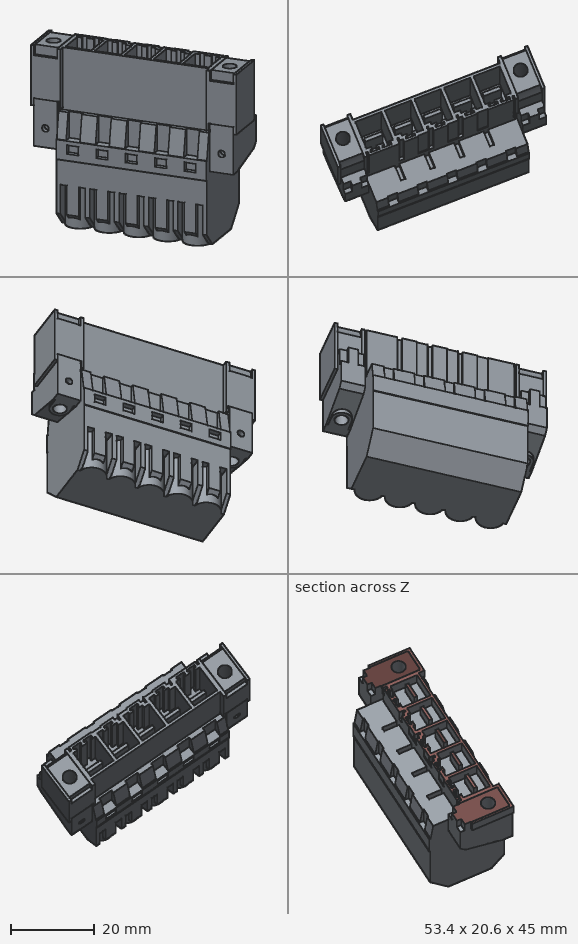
import cadquery as cq


POLE_COUNT = 5
PITCH = 7.65
POLE_XS = [(i - (POLE_COUNT - 1) / 2) * PITCH for i in range(POLE_COUNT)]
MIDDLE_POLE_XS = POLE_XS[1:-1]
POLE_BOUNDARY_XS = [x + PITCH / 2 for x in POLE_XS[:-1]]

LENGTH = 53.35
DEPTH = 20.6
HEIGHT = 45.0

PLUG_LENGTH = 39.0
PLUG_REAR_TOP = 27.2
PLUG_FRONT_TOP = 29.2
BAND_PROUD = 0.2
BAND_BOTTOM = 17.4
BAND_TOP = 22.45
SLOPE_SETBACK = 0.4
FRONT_SLOPE_TOP_Y = 1.6
REAR_SLOPE_TOP_Y = DEPTH - 1.05
FRONT_CHAMFER = 3.6
REAR_CHAMFER = 4.95
PLUG_FRONT = BAND_PROUD
PLUG_REAR = DEPTH - BAND_PROUD

FRONT_GRIP_WIDTH = 3.6
FRONT_GRIP_BACK = 2.35
REAR_GRIP_WIDTH = 2.45
REAR_GRIP_DEPTH = 1.4
WINDOW_WIDTH = 3.0
WINDOW_BOTTOM = 19.15
WINDOW_TOP = 21.4
WINDOW_DEPTH = 1.35
CODING_GROOVE_WIDTH = 1.2
CODING_GROOVE_LENGTH = 4.0
CODING_GROOVE_DEPTH = 2.15

FUNNEL_RADIUS = 3.65
FUNNEL_FRONT = 1.1
FUNNEL_TOP = 11.0
FUNNEL_Y = FUNNEL_FRONT + FUNNEL_RADIUS
FUNNEL_SLOT_INNER = 1.5
FUNNEL_SLOT_OUTER = 3.2

NOSE_LENGTH = 37.9
NOSE_FRONT = 3.0
NOSE_REAR = 12.7
POCKET_WIDTH = 6.7
POCKET_FRONT = 3.75
POCKET_FLOOR = 29.35
END_POCKET_OUTER_REAR = 10.9
END_POCKET_MIDDLE_REAR = 11.05
END_POCKET_INNER_REAR = 11.2
END_POCKET_STEP = 2.15
MIDDLE_POCKET_LEFT_REAR = 11.6
MIDDLE_POCKET_CENTRE_REAR = 11.05
MIDDLE_POCKET_RIGHT_REAR = 10.35
MIDDLE_POCKET_STEP = 1.85

T_SLOT_OPENING = 1.25
T_SLOT_WIDTH = 2.3
T_SLOT_HEAD_FRONT = 11.6
T_SLOT_REAR = 12.1
END_T_SLOT_OFFSET = 1.55

STEP_GROOVE_LEFT = 2.0
STEP_GROOVE_RIGHT = 3.2
STEP_GROOVE_DEPTH = 0.75
STEP_GROOVE_LIP_WIDTH = 0.4
STEP_GROOVE_LIP_DEPTH = 1.5
SHALLOW_GROOVE_WIDTH = 2.65
SHALLOW_GROOVE_OFFSET = 3.05
SHALLOW_GROOVE_DEPTH = 0.2
END_GROOVE_WIDTH = 0.5
END_GROOVE_DEPTH = 0.95
END_GROOVE_X = 18.85

BLADE_WIDTH = 4.5
BLADE_THICKNESS = 0.9
BLADE_Y = 7.05
BLADE_BOTTOM = 26.65
BLADE_TOP = 38.4

BOX_FRONT = 1.45
BOX_BOTTOM = 29.7
BOX_WALL_FRONT = 2.35
BOX_WALL_BOTTOM = 31.6
BOX_WALL_TOP = 42.5
INSERT_INNER_X = 19.85
INSERT_OUTER_X = 25.9
INNER_WALL_LOWER_X = 19.45
INSERT_X = (INSERT_INNER_X + INSERT_OUTER_X) / 2
INSERT_WIDTH = INSERT_OUTER_X - INSERT_INNER_X
INSERT_TOP_REAR = 11.6
FLARE_BOTTOM = 42.15
FLARE_RADIUS = 6.4
INSERT_REAR = 15.6
INSERT_BOTTOM = 19.4
INSERT_BACK_TOP = 34.9
INSERT_BACK_BOTTOM = 23.25
SLOPE_REAR_Y = 14.15
SLOPE_REAR_Z = 21.9
SLOPE_FRONT_Y = 3.9
NOTCH_WIDTH = 1.8
NOTCH_DEPTH = 1.2
NOTCH_BOTTOM = 29.85
SCREW_Y = 6.45
SCREW_HOLE_DIAMETER = 3.35
SCREW_BOSS_RADIUS = 2.55
PEEP_HOLE_Z = 24.3
PEEP_HOLE_DIAMETER = 1.75
PEEP_HOLE_DEPTH = 1.6


def block(x0, x1, y0, y1, z0, z1):
    """Box between two opposite corners."""
    return cq.Workplane("XY").box(x1 - x0, y1 - y0, z1 - z0, centered=False).translate((x0, y0, z0))


def centred_block(x, width, y0, y1, z0, z1):
    """Box centred on x."""
    return block(x - width / 2, x + width / 2, y0, y1, z0, z1)


def mirrored(shape, side):
    """The shape itself on the right (+1), its mirror image on the left (-1)."""
    return shape if side > 0 else shape.mirror("YZ")


def plug_block():
    """Side outline of the lower plug, drawn through the whole row of poles."""
    outline = [
        (PLUG_FRONT + FRONT_CHAMFER, 0),
        (PLUG_FRONT, FRONT_CHAMFER),
        (PLUG_FRONT, BAND_BOTTOM),
        (0, BAND_BOTTOM),
        (0, BAND_TOP),
        (SLOPE_SETBACK, BAND_TOP),
        (FRONT_SLOPE_TOP_Y, PLUG_FRONT_TOP),
        (NOSE_FRONT, PLUG_FRONT_TOP),
        (NOSE_FRONT, PLUG_REAR_TOP),
        (REAR_SLOPE_TOP_Y, PLUG_REAR_TOP),
        (DEPTH - SLOPE_SETBACK, BAND_TOP),
        (DEPTH, BAND_TOP),
        (DEPTH, BAND_BOTTOM),
        (PLUG_REAR, BAND_BOTTOM),
        (PLUG_REAR, REAR_CHAMFER),
        (PLUG_REAR - REAR_CHAMFER, 0),
    ]
    return cq.Workplane("YZ").polyline(outline).close().extrude(PLUG_LENGTH / 2, both=True)


def wire_funnel(x):
    return cq.Workplane("XY").center(x, FUNNEL_Y).circle(FUNNEL_RADIUS).extrude(FUNNEL_TOP)


def funnel_slots(x):
    """Pair of front slots that stop at the funnel surface."""
    slots = centred_block(x, 2 * FUNNEL_SLOT_OUTER, 0, FUNNEL_Y, 0, FUNNEL_TOP)
    rib = centred_block(x, 2 * FUNNEL_SLOT_INNER, 0, FUNNEL_Y, 0, FUNNEL_TOP)
    return slots.cut(rib).cut(wire_funnel(x))


def grip_recesses(x):
    """Front and rear grip recesses above the band, and the window in the band."""
    front = centred_block(x, FRONT_GRIP_WIDTH, 0, FRONT_GRIP_BACK, BAND_TOP, PLUG_FRONT_TOP)
    rear = centred_block(x, REAR_GRIP_WIDTH, DEPTH - REAR_GRIP_DEPTH, DEPTH, BAND_TOP, PLUG_REAR_TOP)
    window = centred_block(x, WINDOW_WIDTH, 0, WINDOW_DEPTH, WINDOW_BOTTOM, WINDOW_TOP)
    return front.union(rear).union(window)


def coding_groove(x):
    floor = PLUG_REAR_TOP - CODING_GROOVE_DEPTH
    return centred_block(
        x, CODING_GROOVE_WIDTH, NOSE_REAR, NOSE_REAR + CODING_GROOVE_LENGTH, floor, PLUG_REAR_TOP
    )


def t_slot(x):
    opening = centred_block(x, T_SLOT_OPENING, POCKET_FRONT, T_SLOT_REAR, POCKET_FLOOR, HEIGHT)
    head = centred_block(x, T_SLOT_WIDTH, T_SLOT_HEAD_FRONT, T_SLOT_REAR, POCKET_FLOOR, HEIGHT)
    return opening.union(head)


def stepped_pocket(x, left_step, right_step, left_rear, centre_rear, right_rear):
    """Pocket whose rear wall has three stretches at different depths."""
    left = x - POCKET_WIDTH / 2
    right = x + POCKET_WIDTH / 2
    outline = [
        (left, POCKET_FRONT),
        (left, left_rear),
        (x + left_step, left_rear),
        (x + left_step, centre_rear),
        (x + right_step, centre_rear),
        (x + right_step, right_rear),
        (right, right_rear),
        (right, POCKET_FRONT),
    ]
    height = HEIGHT - POCKET_FLOOR
    return cq.Workplane("XY", origin=(0, 0, POCKET_FLOOR)).polyline(outline).close().extrude(height)


def middle_pocket(x):
    pocket = stepped_pocket(
        x,
        -MIDDLE_POCKET_STEP,
        MIDDLE_POCKET_STEP,
        MIDDLE_POCKET_LEFT_REAR,
        MIDDLE_POCKET_CENTRE_REAR,
        MIDDLE_POCKET_RIGHT_REAR,
    )
    return pocket.union(t_slot(x))


def end_pocket(side):
    x = POLE_XS[-1]
    pocket = stepped_pocket(
        x,
        -END_POCKET_STEP,
        END_POCKET_STEP,
        END_POCKET_INNER_REAR,
        END_POCKET_MIDDLE_REAR,
        END_POCKET_OUTER_REAR,
    )
    for offset in (-END_T_SLOT_OFFSET, END_T_SLOT_OFFSET):
        pocket = pocket.union(t_slot(x + offset))
    return mirrored(pocket, side)


def rear_groove(x0, x1, depth):
    """Groove down the back of the nose, stopping level with the bottom of the flange boxes."""
    return block(x0, x1, NOSE_REAR - depth, NOSE_REAR, BOX_BOTTOM, HEIGHT)


def middle_rear_grooves(x):
    """Stepped groove to the right of a middle pole and shallow groove to its left."""
    right = x + STEP_GROOVE_RIGHT
    stepped = rear_groove(x + STEP_GROOVE_LEFT, right, STEP_GROOVE_DEPTH)
    lip = rear_groove(right - STEP_GROOVE_LIP_WIDTH, right, STEP_GROOVE_LIP_DEPTH)
    shallow_x = x - SHALLOW_GROOVE_OFFSET
    half_width = SHALLOW_GROOVE_WIDTH / 2
    shallow = rear_groove(shallow_x - half_width, shallow_x + half_width, SHALLOW_GROOVE_DEPTH)
    return stepped.union(lip).union(shallow)


def end_rear_groove(side):
    half_width = END_GROOVE_WIDTH / 2
    return mirrored(rear_groove(END_GROOVE_X - half_width, END_GROOVE_X + half_width, END_GROOVE_DEPTH), side)


def flange_box(side):
    """Two side walls and a front wall around an insert, open at the back, top and bottom."""
    nose_end = NOSE_LENGTH / 2
    outer_wall = block(INSERT_OUTER_X, LENGTH / 2, BOX_FRONT, NOSE_REAR, BOX_BOTTOM, HEIGHT)
    inner_wall = block(nose_end, INSERT_INNER_X, BOX_FRONT, NOSE_REAR, BOX_WALL_BOTTOM, HEIGHT)
    inner_skirt = block(nose_end, INNER_WALL_LOWER_X, BOX_FRONT, NOSE_REAR, BOX_BOTTOM, BOX_WALL_BOTTOM)
    front_wall = block(
        INSERT_INNER_X, INSERT_OUTER_X, BOX_FRONT, BOX_WALL_FRONT, BOX_WALL_BOTTOM, BOX_WALL_TOP
    )
    return mirrored(inner_wall.union(inner_skirt).union(front_wall).union(outer_wall), side)


def blade(x):
    return centred_block(
        x,
        BLADE_WIDTH,
        BLADE_Y - BLADE_THICKNESS / 2,
        BLADE_Y + BLADE_THICKNESS / 2,
        BLADE_BOTTOM,
        BLADE_TOP,
    )


def build_housing():
    housing = plug_block()
    for x in POLE_XS:
        housing = housing.cut(grip_recesses(x)).cut(funnel_slots(x)).union(wire_funnel(x))
    for x in POLE_BOUNDARY_XS:
        housing = housing.cut(coding_groove(x))

    housing = housing.union(centred_block(0, NOSE_LENGTH, NOSE_FRONT, NOSE_REAR, PLUG_REAR_TOP, HEIGHT))
    for side in (-1, 1):
        housing = housing.union(flange_box(side)).cut(end_pocket(side)).cut(end_rear_groove(side))
    for x in MIDDLE_POLE_XS:
        housing = housing.cut(middle_pocket(x)).cut(middle_rear_grooves(x))
    for x in POLE_XS:
        housing = housing.cut(blade(x))
    return housing


def insert_block():
    """Insert cut to its side outline, whose back flares out in a concave arc below the top."""
    return (
        cq.Workplane("YZ", origin=(INSERT_INNER_X, 0, 0))
        .moveTo(BOX_FRONT, INSERT_BOTTOM)
        .lineTo(BOX_FRONT, BOX_WALL_BOTTOM)
        .lineTo(BOX_WALL_FRONT, BOX_WALL_BOTTOM)
        .lineTo(BOX_WALL_FRONT, HEIGHT)
        .lineTo(INSERT_TOP_REAR, HEIGHT)
        .radiusArc((NOSE_REAR, FLARE_BOTTOM), -FLARE_RADIUS)
        .lineTo(NOSE_REAR, INSERT_BACK_TOP)
        .lineTo(INSERT_REAR, INSERT_BACK_TOP)
        .lineTo(INSERT_REAR, INSERT_BACK_BOTTOM)
        .lineTo(SLOPE_REAR_Y, SLOPE_REAR_Z)
        .lineTo(SLOPE_FRONT_Y, INSERT_BOTTOM)
        .close()
        .extrude(INSERT_WIDTH)
    )


def screw_boss():
    """U-shaped boss around the screw hole, below the sloping underside."""
    height = BOX_BOTTOM - INSERT_BOTTOM
    base = cq.Workplane("XY", origin=(INSERT_X, SCREW_Y, INSERT_BOTTOM))
    round_back = base.circle(SCREW_BOSS_RADIUS).extrude(height)
    front = centred_block(INSERT_X, 2 * SCREW_BOSS_RADIUS, BOX_FRONT, SCREW_Y, INSERT_BOTTOM, BOX_BOTTOM)
    return round_back.union(front)


def build_insert(side):
    insert = insert_block().union(screw_boss())
    for edge_x in (INSERT_INNER_X + NOTCH_WIDTH / 2, INSERT_OUTER_X - NOTCH_WIDTH / 2):
        notch = centred_block(
            edge_x, NOTCH_WIDTH, INSERT_REAR - NOTCH_DEPTH, INSERT_REAR, NOTCH_BOTTOM, INSERT_BACK_TOP
        )
        insert = insert.cut(notch)
    screw_hole = cq.Workplane("XY").center(INSERT_X, SCREW_Y).circle(SCREW_HOLE_DIAMETER / 2).extrude(HEIGHT)
    peep_hole = (
        cq.Workplane("XZ", origin=(INSERT_X, BOX_FRONT, PEEP_HOLE_Z))
        .circle(PEEP_HOLE_DIAMETER / 2)
        .extrude(-PEEP_HOLE_DEPTH)
    )
    return mirrored(insert.cut(screw_hole).cut(peep_hole), side)


housing = build_housing()
inserts = [build_insert(side) for side in (-1, 1)]
blades = [blade(x) for x in POLE_XS]

result = cq.Compound.makeCompound(
    [housing.val(), *[insert.val() for insert in inserts], *[contact.val() for contact in blades]]
)